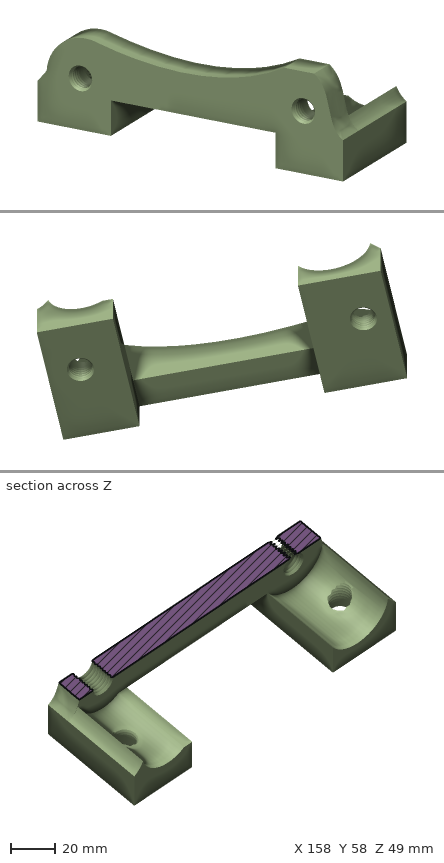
import cadquery as cq
import math

length = 158.0
depth = 58.0
height = 49.0
plate_thickness = 14.0

left_foot_width = 38.0
right_foot_width = 35.0
notch_height = 17.0
left_wall_height = 19.3
right_wall_height = 19.8
left_rim = (4.8, 25.2)
right_rim = (152.7, 26.2)

left_axis = (22.3, 24.7)
right_axis = (137.5, 30.1)
left_saddle_drop = 15.8
right_saddle_radius = 16.2

left_hump_shoulder = (9.5, 37.0)
left_hump_end = (31.8, 43.2)
valley = (73.4, 37.1)
valley_rise = (105.0, 40.3)
flat_start_x = 127.7
flat_end_x = 143.0
right_shoulder = (149.0, 40.5)
right_flank = (151.1, 32.6)
right_end_hollow = (154.8, 22.7)

minor_diameter = 10.6
major_diameter = 12.18
thread_pitch = 1.75
foot_hole_y = 34.8
left_foot_hole_x = 12.8
right_foot_hole_x = 142.8
foot_hole_length = 22.0

right_foot_x = length - right_foot_width


def make_plate():
    """Bridge plate with a wavy upper edge, standing on Y = 0."""
    right_end_points = [right_end_hollow, right_flank, right_shoulder, (flat_end_x, height)]
    outline = (
        cq.Workplane("XZ")
        .moveTo(0, 0)
        .lineTo(left_foot_width, 0)
        .lineTo(left_foot_width, notch_height)
        .lineTo(right_foot_x, notch_height)
        .lineTo(right_foot_x, 0)
        .lineTo(length, 0)
        .lineTo(length, right_wall_height)
        .spline(right_end_points, includeCurrent=True)
        .lineTo(flat_start_x, height)
        .spline([valley_rise, valley, left_hump_end], includeCurrent=True)
        .threePointArc(left_hump_shoulder, left_rim)
        .lineTo(0, left_wall_height)
        .close()
    )
    return outline.extrude(-plate_thickness)


def saddle_bottom(axis, drop):
    """Lowest point of a saddle as (X, Z)."""
    return (axis[0], axis[1] - drop)


def make_left_foot():
    """Foot whose saddle runs from the outer rim to the top of the inner wall."""
    outline = (
        cq.Workplane("XZ", origin=(0, plate_thickness, 0))
        .moveTo(0, 0)
        .lineTo(left_foot_width, 0)
        .lineTo(left_foot_width, notch_height)
        .threePointArc(saddle_bottom(left_axis, left_saddle_drop), left_rim)
        .lineTo(0, left_wall_height)
        .close()
    )
    return outline.extrude(plate_thickness - depth)


def make_right_foot():
    """Foot with a narrow level ledge between its inner wall and the saddle."""
    half_chord = math.sqrt(right_saddle_radius**2 - (right_axis[1] - notch_height) ** 2)
    outline = (
        cq.Workplane("XZ", origin=(0, plate_thickness, 0))
        .moveTo(right_foot_x, 0)
        .lineTo(length, 0)
        .lineTo(length, right_wall_height)
        .threePointArc(right_end_hollow, right_rim)
        .threePointArc(
            saddle_bottom(right_axis, right_saddle_radius),
            (right_axis[0] - half_chord, notch_height),
        )
        .lineTo(right_foot_x, notch_height)
        .close()
    )
    return outline.extrude(plate_thickness - depth)


def make_thread_cutter(cut_length):
    """Solid of revolution about +Z with V grooves, one groove per pitch."""
    minor_radius = minor_diameter / 2
    major_radius = major_diameter / 2
    pitch_count = math.ceil(cut_length / thread_pitch)
    profile = cq.Workplane("XZ").lineTo(major_radius, 0)
    for index in range(pitch_count):
        pitch_start = index * thread_pitch
        profile = profile.lineTo(minor_radius, pitch_start + thread_pitch / 2)
        profile = profile.lineTo(major_radius, pitch_start + thread_pitch)
    profile = profile.lineTo(0, pitch_count * thread_pitch).close()
    return profile.revolve(360, (0, 0, 0), (0, 1, 0))


def cut_plate_holes(body):
    cutter = make_thread_cutter(plate_thickness).rotate((0, 0, 0), (1, 0, 0), -90)
    for x, z in (left_axis, right_axis):
        body = body.cut(cutter.translate((x, 0, z)))
    return body


def cut_foot_holes(body):
    cutter = make_thread_cutter(foot_hole_length)
    for x in (left_foot_hole_x, right_foot_hole_x):
        body = body.cut(cutter.translate((x, foot_hole_y, 0)))
    return body


body = make_plate().union(make_left_foot()).union(make_right_foot())
result = cut_foot_holes(cut_plate_holes(body))